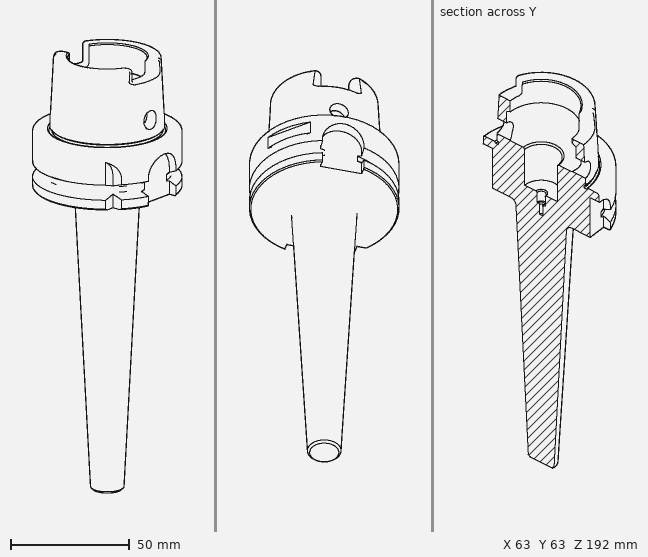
import cadquery as cq
import math


total_length = 192.0
shank_length = 32.0
flange_width = 26.0
tip_z = shank_length - total_length

shank_top_radius = 22.7
shank_base_radius = 24.2
shank_edge_fillet = 1.0
shank_base_z = 2.3
relief_radius = 23.5
relief_top_z = 1.0
relief_bevel_height = 0.5
face_relief_radius = 25.2
face_relief_depth = 0.8
face_relief_bevel = 0.5

flange_radius = 31.5
flange_top_fillet = 1.2
flange_bottom_chamfer = 0.5
groove_radius = 27.5
groove_center_z = -18.0
groove_floor_width = 3.3
groove_mouth_width = 6.7
groove_root_fillet = 0.5

neck_radius = 13.8
neck_fillet = 2.9
tip_radius = 7.1
tip_chamfer = 1.0

bore_radius = 16.7
bore_mouth_chamfer = 0.5
clamp_shoulder_z = 20.0
clamp_radius = 18.8
clamp_shoulder_height = 1.2
bore_floor_z = 4.6
bore_floor_fillet = 2.9
coolant_radius = 8.8
coolant_chamfer = 0.8
coolant_floor_z = -15.4
center_hole_radius = 2.1
center_hole_depth = 5.8
center_hole_chamfer = 0.5
pilot_radius = 0.8
pilot_depth = 5.8
cross_hole_radius = 4.0
cross_hole_z = 8.8

slot_half_width = 6.3
slot_corner_radius = 3.0
slot_face_distance = 20.5
slot_floor_fillet = 1.7
deep_slot_depth = 9.8
shallow_slot_depth = 6.1

keyway_floor_distance = 26.5
keyway_half_width = 9.0
keyway_top_z = -4.6
notch_offset = 19.8
notch_roof_radius = 8.3
notch_roof_z = -12.0
pocket_floor_distance = 29.8
pocket_top_z = -4.0
pocket_height = 6.0
pocket_angle = 135.0

clearance = 9.6

selector_margin = 0.2


def rim_at(radius, z):
    """Selector for the circular edge of the given radius and height."""
    reach = radius + selector_margin
    inner = radius - selector_margin
    around = cq.selectors.BoxSelector(
        (-reach, -reach, z - selector_margin), (reach, reach, z + selector_margin), boundingbox=True
    )
    within = cq.selectors.BoxSelector(
        (-inner, -inner, z - selector_margin), (inner, inner, z + selector_margin), boundingbox=True
    )
    return around - within


def holder_body():
    """Outside of the holder turned about Z."""
    groove_floor_top = groove_center_z + groove_floor_width / 2
    groove_floor_bottom = groove_center_z - groove_floor_width / 2
    groove_mouth_top = groove_center_z + groove_mouth_width / 2
    groove_mouth_bottom = groove_center_z - groove_mouth_width / 2
    fillet_middle = neck_fillet * (1 - math.sqrt(0.5))
    profile = (
        cq.Workplane("XZ")
        .moveTo(0, shank_length)
        .lineTo(shank_top_radius, shank_length)
        .lineTo(shank_base_radius, shank_base_z)
        .lineTo(shank_base_radius, relief_top_z)
        .lineTo(relief_radius, relief_top_z - relief_bevel_height)
        .lineTo(relief_radius, -face_relief_depth)
        .lineTo(face_relief_radius - face_relief_bevel, -face_relief_depth)
        .lineTo(face_relief_radius, face_relief_bevel - face_relief_depth)
        .lineTo(face_relief_radius, 0)
        .lineTo(flange_radius, 0)
        .lineTo(flange_radius, groove_mouth_top)
        .lineTo(groove_radius, groove_floor_top)
        .lineTo(groove_radius, groove_floor_bottom)
        .lineTo(flange_radius, groove_mouth_bottom)
        .lineTo(flange_radius, flange_bottom_chamfer - flange_width)
        .lineTo(flange_radius - flange_bottom_chamfer, -flange_width)
        .lineTo(neck_radius + neck_fillet, -flange_width)
        .threePointArc(
            (neck_radius + fillet_middle, -flange_width - fillet_middle),
            (neck_radius, -flange_width - neck_fillet),
        )
        .lineTo(tip_radius, tip_z + tip_chamfer)
        .lineTo(tip_radius - tip_chamfer, tip_z)
        .lineTo(0, tip_z)
        .close()
    )
    body = profile.revolve(360, (0, 0, 0), (0, 1, 0))
    body = body.edges(rim_at(flange_radius, 0)).fillet(flange_top_fillet)
    for root_z in (groove_floor_top, groove_floor_bottom):
        body = body.edges(rim_at(groove_radius, root_z)).fillet(groove_root_fillet)
    return body


def inner_bore():
    """Clamping bore, coolant bore and centre hole as one turned cutter."""
    fillet_middle = bore_floor_fillet * (1 - math.sqrt(0.5))
    center_hole_floor_z = coolant_floor_z - center_hole_depth
    profile = (
        cq.Workplane("XZ")
        .moveTo(0, shank_length)
        .lineTo(bore_radius + bore_mouth_chamfer, shank_length)
        .lineTo(bore_radius, shank_length - bore_mouth_chamfer)
        .lineTo(bore_radius, clamp_shoulder_z)
        .lineTo(clamp_radius, clamp_shoulder_z - clamp_shoulder_height)
        .lineTo(clamp_radius, bore_floor_z + bore_floor_fillet)
        .threePointArc(
            (clamp_radius - fillet_middle, bore_floor_z + fillet_middle),
            (clamp_radius - bore_floor_fillet, bore_floor_z),
        )
        .lineTo(coolant_radius + coolant_chamfer, bore_floor_z)
        .lineTo(coolant_radius, bore_floor_z - coolant_chamfer)
        .lineTo(coolant_radius, coolant_floor_z)
        .lineTo(center_hole_radius + center_hole_chamfer, coolant_floor_z)
        .lineTo(center_hole_radius, coolant_floor_z - center_hole_chamfer)
        .lineTo(center_hole_radius, center_hole_floor_z)
        .lineTo(pilot_radius + center_hole_chamfer, center_hole_floor_z)
        .lineTo(pilot_radius, center_hole_floor_z - center_hole_chamfer)
        .lineTo(pilot_radius, center_hole_floor_z - pilot_depth)
        .lineTo(0, center_hole_floor_z - pilot_depth)
        .close()
    )
    return profile.revolve(360, (0, 0, 0), (0, 1, 0))


def cross_hole():
    """Radial hole along X through both shank walls."""
    length = 2 * (shank_base_radius + clearance)
    return (
        cq.Workplane("YZ", origin=(-length / 2, 0, 0))
        .center(0, cross_hole_z)
        .circle(cross_hole_radius)
        .extrude(length)
    )


def drive_slot(depth):
    """Slot on the +X side whose walls round outward into a flat face."""
    flare_y = slot_half_width + slot_corner_radius
    arc_start_x = slot_face_distance - slot_corner_radius
    arc_middle = slot_corner_radius * math.sqrt(0.5)
    middle_x = arc_start_x + arc_middle
    middle_y = flare_y - arc_middle
    outer_x = shank_base_radius + clearance
    outer_y = flare_y + clearance
    return (
        cq.Workplane("XY", origin=(0, 0, shank_length - depth))
        .moveTo(0, -slot_half_width)
        .lineTo(arc_start_x, -slot_half_width)
        .threePointArc((middle_x, -middle_y), (slot_face_distance, -flare_y))
        .lineTo(slot_face_distance, -outer_y)
        .lineTo(outer_x, -outer_y)
        .lineTo(outer_x, outer_y)
        .lineTo(slot_face_distance, outer_y)
        .lineTo(slot_face_distance, flare_y)
        .threePointArc((middle_x, middle_y), (arc_start_x, slot_half_width))
        .lineTo(0, slot_half_width)
        .close()
        .extrude(depth + clearance)
        .faces("<Z")
        .edges()
        .fillet(slot_floor_fillet)
    )


def round_shank_end(body):
    """Round every edge of the shank end, along the rim and the drive slots."""
    return body.faces(">Z").edges().fillet(shank_edge_fillet)


def keyway():
    """Round-topped keyway on the +X side, open at the flange underside."""
    spring_z = keyway_top_z - keyway_half_width
    return (
        cq.Workplane("YZ", origin=(keyway_floor_distance, 0, 0))
        .moveTo(-keyway_half_width, -flange_width)
        .lineTo(-keyway_half_width, spring_z)
        .threePointArc((0, keyway_top_z), (keyway_half_width, spring_z))
        .lineTo(keyway_half_width, -flange_width)
        .close()
        .extrude(flange_radius)
    )


def index_notch():
    """Square-cornered notch at the +X -Y side with a rounded roof."""
    roof_y = -notch_offset - notch_roof_radius
    far_y = roof_y - notch_roof_radius
    return (
        cq.Workplane("YZ", origin=(notch_offset, 0, 0))
        .moveTo(-notch_offset, -flange_width)
        .lineTo(-notch_offset, notch_roof_z)
        .threePointArc((roof_y, notch_roof_z + notch_roof_radius), (far_y, notch_roof_z))
        .lineTo(far_y, -flange_width)
        .close()
        .extrude(flange_radius)
    )


def flat_pocket():
    """Flat milled across the flange rim at the -X +Y side."""
    return (
        cq.Workplane("XY", origin=(0, 0, pocket_top_z - pocket_height))
        .rect(flange_radius, 2 * flange_radius)
        .extrude(pocket_height)
        .translate((pocket_floor_distance + flange_radius / 2, 0, 0))
        .rotate((0, 0, 0), (0, 0, 1), pocket_angle)
    )


def on_opposite_side(cutter):
    """Turn a cutter from the +X side to the -X side."""
    return cutter.rotate((0, 0, 0), (0, 0, 1), 180)


result = holder_body()
result = result.cut(drive_slot(shallow_slot_depth))
result = result.cut(on_opposite_side(drive_slot(deep_slot_depth)))
result = round_shank_end(result)
result = result.cut(inner_bore())
result = result.cut(cross_hole())
result = result.cut(keyway())
result = result.cut(on_opposite_side(keyway()))
result = result.cut(index_notch())
result = result.cut(flat_pocket())